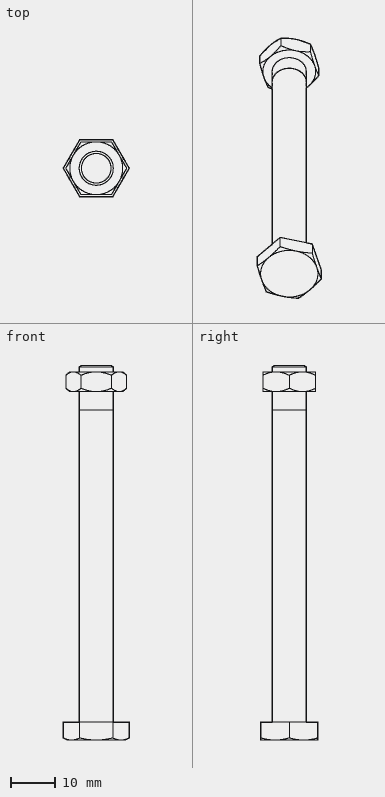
import cadquery as cq
import math

total_length = 85.0
head_flats = 13.0
head_height = 4.1
shank_diameter = 7.8
thread_diameter = 7.7
thread_length = 10.1
tip_chamfer_width = 0.5
tip_chamfer_height = 0.3

nut_flats = 12.0
nut_height = 4.5
tip_above_nut = 1.45

head_bevel_angle = 25.0
nut_bevel_angle = 40.0

head_bottom = -total_length / 2
head_top = head_bottom + head_height
tip_top = head_bottom + total_length
thread_start = tip_top - thread_length
nut_bottom = tip_top - tip_above_nut - nut_height


def hexagon(flats, height):
    """Hexagonal prism standing on Z = 0, with two corners on the X axis."""
    corners = flats / math.cos(math.radians(30))
    return cq.Workplane("XY").polygon(6, corners).extrude(height)


def bevel_envelope(flats, height, bevel_angle, bevel_top):
    """Turned blank whose conical ends bevel the corners of a hexagon."""
    face_radius = flats / 2
    outer_radius = flats / math.cos(math.radians(30)) / 2
    bevel_height = (outer_radius - face_radius) * math.tan(math.radians(bevel_angle))
    profile = (
        cq.Workplane("XZ")
        .moveTo(0, 0)
        .lineTo(face_radius, 0)
        .lineTo(outer_radius, bevel_height)
    )
    if bevel_top:
        profile = profile.lineTo(outer_radius, height - bevel_height).lineTo(face_radius, height)
    else:
        profile = profile.lineTo(outer_radius, height)
    return profile.lineTo(0, height).close().revolve(360, (0, 0, 0), (0, 1, 0))


def make_bolt():
    """Head with a bevelled bottom, plain shank, and slightly reduced thread with a chamfered tip."""
    envelope = bevel_envelope(head_flats, head_height, head_bevel_angle, bevel_top=False)
    head = hexagon(head_flats, head_height).intersect(envelope).translate((0, 0, head_bottom))
    shank_radius = shank_diameter / 2
    thread_radius = thread_diameter / 2
    stem = (
        cq.Workplane("XZ")
        .moveTo(0, head_top)
        .lineTo(shank_radius, head_top)
        .lineTo(shank_radius, thread_start)
        .lineTo(thread_radius, thread_start)
        .lineTo(thread_radius, tip_top - tip_chamfer_height)
        .lineTo(thread_radius - tip_chamfer_width, tip_top)
        .lineTo(0, tip_top)
        .close()
        .revolve(360, (0, 0, 0), (0, 1, 0))
    )
    return head.union(stem)


def make_nut():
    """Nut bevelled on both faces, with a bore that fits the thread."""
    envelope = bevel_envelope(nut_flats, nut_height, nut_bevel_angle, bevel_top=True)
    blank = hexagon(nut_flats, nut_height).intersect(envelope)
    bore = cq.Workplane("XY").circle(thread_diameter / 2).extrude(nut_height)
    return blank.cut(bore).translate((0, 0, nut_bottom))


bolt = make_bolt()
nut = make_nut()
result = cq.Compound.makeCompound([bolt.val(), nut.val()])